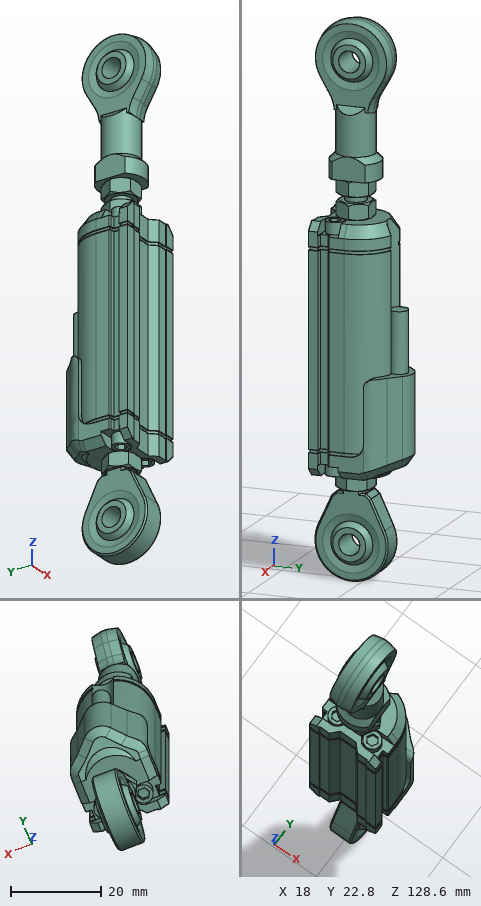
import cadquery as cq
import math

REACH = 25.7

THREAD_D = 5.0
NUT_CORNER_D = 9.0
NUT_FACE_D = 7.5
NUT_H = 3.9
NUT_CHAMFER_ANGLE = 30.0
LOWER_NUT_TURN = -5.0

BALL_D = 11.2
BALL_WIDTH = 8.0
BORE_D = 5.0

EYE_WIDTH = 5.9
DISH_OUTER_D = 13.5
DISH_INNER_D = 10.0

BODY_BOTTOM = 24.8
BODY_TOP = 83.2
BODY_CHAMFER = 1.9
DOME_BEVEL_H = 2.8
SEAM_INSET = 5.5
SEAM_H = 0.8
SEAM_DEPTH = 0.3

HALF_W = 9.0
DOME_Y = 0.8
SLOT_TOP_Y = -3.1
SLOT_BOTTOM_Y = -5.4
SLOT_FLOOR_X = 7.6
SLOT_EDGE_CHAMFER = 0.3
FOOT_Y = -7.7
FOOT_INNER_X = 6.4
LAND_Y = -7.5
LAND_INNER_X = 3.9
CHANNEL_Y = -5.7
CHANNEL_HALF_W = 2.2

SCREW_X = 4.8
SCREW_Y = -3.1
SCREW_HEAD_D = 4.2
SCREW_SOCKET_D = 2.8
SCREW_SOCKET_DEPTH = 1.3
POCKET_D = 4.9
POCKET_DEPTH = 2.8

BOSS_NOSE_Y = 13.8
BOSS_NOSE_R = 4.5
BOSS_FLANK_Y = 9.8
BOSS_SIDE_Y = 5.4
BOSS_SLOPE_Y = 4.6
BOSS_TOP = 48.5
BOSS_CORNER_R = 1.9
BOSS_ROOT_R = 3.2
BOSS_SLOPE = 1 / 3
CABLE_D = 4.2
CABLE_Y = 10.3
CABLE_CHANNEL_D = 5.4
CABLE_TOP = 62.9

UPPER_EYE_Z = 119.6
UPPER_EYE_R = 9.0
CREST_WIDTH = 1.3
CREST_DROP = 0.5
SHANK_D = 9.0
SHANK_TOP = 111.2
NECK_CORNER_Z = 109.5
NECK_FLAT_Z = 109.2
NECK_START_Z = 107.5
COLLAR_D = 12.0
COLLAR_CONE_Z = 96.5
COLLAR_BOTTOM = 92.3

LOWER_EYE_R = 8.7
LOWER_EYE_Z = LOWER_EYE_R
LOWER_EDGE_CHAMFER = 0.4
LOWER_TANGENT_ANGLE = 25.0
LOWER_SHOULDER_Z = 19.4
LOWER_NECK_D = 7.0
LOWER_NECK_Z = 20.5

ROD_TOP = 102.9
ROD_BOTTOM = 74.6
STUD_TOP = 33.5

UPPER_NUT_Z = COLLAR_BOTTOM - NUT_H
LOWER_NUT_Z = BODY_BOTTOM - NUT_H


def rod(diameter, bottom, top, x=0.0, y=0.0):
    """Vertical cylinder between two heights."""
    return cq.Workplane("XY", origin=(x, y, bottom)).circle(diameter / 2).extrude(top - bottom)


def make_ball(z):
    """Truncated sphere with a bore along X."""
    half_w = BALL_WIDTH / 2
    ball_r = BALL_D / 2
    face_r = math.sqrt(ball_r ** 2 - half_w ** 2)
    ball = (
        cq.Workplane("XY")
        .moveTo(-half_w, BORE_D / 2)
        .lineTo(-half_w, face_r)
        .threePointArc((0, ball_r), (half_w, face_r))
        .lineTo(half_w, BORE_D / 2)
        .close()
        .revolve(360, (0, 0, 0), (1, 0, 0))
    )
    return ball.translate((0, 0, z))


def make_nut(z, turn=0.0):
    """Hex nut with conical corner chamfers on both ends; z is its lower face."""
    drop = (NUT_CORNER_D - NUT_FACE_D) / 2 * math.tan(math.radians(NUT_CHAMFER_ANGLE))
    face_r = NUT_FACE_D / 2
    corner_r = NUT_CORNER_D / 2
    blank = (
        cq.Workplane("XZ")
        .polyline([(0, 0), (face_r, 0), (corner_r, drop),
                   (corner_r, NUT_H - drop), (face_r, NUT_H), (0, NUT_H)])
        .close()
        .revolve(360, (0, 0, 0), (0, 1, 0))
    )
    hexagon = cq.Workplane("XY").polygon(6, NUT_CORNER_D).circle(THREAD_D / 2).extrude(NUT_H)
    nut = blank.intersect(hexagon).rotate((0, 0, 0), (0, 0, 1), turn)
    return nut.translate((0, 0, z))


def cut_ball_seat(eye, z):
    """Spherical seat for the ball and a shallow conical dish on each face."""
    seat_r = DISH_INNER_D / 2
    seat_x = math.sqrt((BALL_D / 2) ** 2 - seat_r ** 2)
    face_x = EYE_WIDTH / 2
    dish_r = DISH_OUTER_D / 2
    tool = (
        cq.Workplane("XY")
        .moveTo(-face_x, 0)
        .lineTo(-face_x, dish_r)
        .lineTo(-seat_x, seat_r)
        .threePointArc((0, BALL_D / 2), (seat_x, seat_r))
        .lineTo(face_x, dish_r)
        .lineTo(face_x, 0)
        .close()
        .revolve(360, (0, 0, 0), (1, 0, 0))
    )
    return eye.cut(tool.translate((0, 0, z)))


def upper_eye_outline(plane):
    """Ring outline running by tangents and concave fillets into the shank sides."""
    side_y = SHANK_D / 2
    reach = UPPER_EYE_Z - NECK_CORNER_Z
    slant = math.acos(UPPER_EYE_R / math.hypot(side_y, reach)) - math.atan2(reach, side_y)
    tangent_y = UPPER_EYE_R * math.cos(slant)
    tangent_z = UPPER_EYE_Z + UPPER_EYE_R * math.sin(slant)
    fillet_run = NECK_CORNER_Z - NECK_START_Z
    fillet_y = side_y - fillet_run * math.sin(slant)
    fillet_z = NECK_CORNER_Z + fillet_run * math.cos(slant)
    fillet_r = fillet_run / math.tan(-slant / 2)
    fillet_mid_y = side_y + fillet_r * (1 - math.cos(slant / 2))
    fillet_mid_z = NECK_START_Z + fillet_r * math.sin(-slant / 2)
    return (
        plane.moveTo(-fillet_y, fillet_z)
        .lineTo(-tangent_y, tangent_z)
        .threePointArc((0, UPPER_EYE_Z + UPPER_EYE_R), (tangent_y, tangent_z))
        .lineTo(fillet_y, fillet_z)
        .tangentArcPoint((side_y, NECK_START_Z), relative=False)
        .lineTo(-side_y, NECK_START_Z)
        .threePointArc((-fillet_mid_y, fillet_mid_z), (-fillet_y, fillet_z))
        .close()
    )


def make_upper_rod_end():
    """Female rod end: ring, shank and wrench collar with a blind thread."""
    crest = upper_eye_outline(cq.Workplane("YZ")).extrude(CREST_WIDTH / 2, both=True)
    flank_w = (EYE_WIDTH - CREST_WIDTH) / 2
    draft = math.degrees(math.atan2(CREST_DROP, flank_w))
    flank_plane = cq.Workplane("YZ", origin=(CREST_WIDTH / 2, 0, 0))
    flank = upper_eye_outline(flank_plane).extrude(flank_w, taper=draft)
    plate = crest.union(flank).union(flank.mirror("YZ"))

    shank = rod(SHANK_D, COLLAR_BOTTOM, SHANK_TOP)
    bevel = (
        cq.Workplane("XZ")
        .polyline([(EYE_WIDTH / 2, SHANK_TOP), (EYE_WIDTH / 2, NECK_FLAT_Z), (SHANK_D / 2, NECK_START_Z),
                   (SHANK_D, NECK_START_Z), (SHANK_D, SHANK_TOP)])
        .close()
        .extrude(SHANK_D, both=True)
    )
    shank = shank.cut(bevel).cut(bevel.mirror("YZ"))

    collar_r = COLLAR_D / 2
    cone_top = COLLAR_CONE_Z + collar_r - SHANK_D / 2
    collar = (
        cq.Workplane("XZ")
        .polyline([(0, COLLAR_BOTTOM), (collar_r, COLLAR_BOTTOM), (collar_r, COLLAR_CONE_Z),
                   (SHANK_D / 2, cone_top), (0, cone_top)])
        .close()
        .revolve(360, (0, 0, 0), (0, 1, 0))
    )
    collar = collar.intersect(cq.Workplane("XY").box(SHANK_D, COLLAR_D, 2 * cone_top))

    eye = plate.union(shank).union(collar)
    eye = eye.cut(rod(THREAD_D, COLLAR_BOTTOM, ROD_TOP))
    return cut_ball_seat(eye, UPPER_EYE_Z)


def make_lower_rod_end():
    """Male rod end: tapered ring plate, round neck with flats and a threaded stud."""
    angle = math.radians(LOWER_TANGENT_ANGLE)
    tangent_y = LOWER_EYE_R * math.cos(angle)
    tangent_z = LOWER_EYE_Z + LOWER_EYE_R * math.sin(angle)
    shoulder_y = tangent_y - (LOWER_SHOULDER_Z - tangent_z) * math.tan(angle)
    plate = (
        cq.Workplane("YZ")
        .moveTo(-tangent_y, tangent_z)
        .threePointArc((0, LOWER_EYE_Z - LOWER_EYE_R), (tangent_y, tangent_z))
        .lineTo(shoulder_y, LOWER_SHOULDER_Z)
        .lineTo(LOWER_NECK_D / 2, LOWER_NECK_Z)
        .lineTo(-LOWER_NECK_D / 2, LOWER_NECK_Z)
        .lineTo(-shoulder_y, LOWER_SHOULDER_Z)
        .close()
        .extrude(EYE_WIDTH / 2, both=True)
        .faces("<X or >X")
        .chamfer(LOWER_EDGE_CHAMFER)
    )
    neck = rod(LOWER_NECK_D, LOWER_SHOULDER_Z, LOWER_NUT_Z)
    neck = neck.intersect(cq.Workplane("XY").box(EYE_WIDTH, LOWER_NECK_D, 2 * LOWER_NUT_Z))
    stud = rod(THREAD_D, LOWER_NUT_Z, STUD_TOP)
    return cut_ball_seat(plate.union(neck).union(stud), LOWER_EYE_Z)


def section_outline(plane):
    """Cross-section: domed back, side slots, two feet and a front channel."""
    right_half = [
        (CHANNEL_HALF_W, CHANNEL_Y),
        (LAND_INNER_X, LAND_Y),
        (FOOT_INNER_X, LAND_Y),
        (FOOT_INNER_X, FOOT_Y),
        (HALF_W, FOOT_Y),
        (HALF_W, SLOT_BOTTOM_Y),
        (SLOT_FLOOR_X, SLOT_BOTTOM_Y),
        (SLOT_FLOOR_X, SLOT_TOP_Y),
        (HALF_W - SLOT_EDGE_CHAMFER, SLOT_TOP_Y),
        (HALF_W, SLOT_TOP_Y + SLOT_EDGE_CHAMFER),
        (HALF_W, DOME_Y),
    ]
    left_half = [(-x, y) for x, y in reversed(right_half)]
    return (
        plane.polyline(right_half)
        .threePointArc((0, DOME_Y + HALF_W), left_half[0])
        .polyline(left_half, includeCurrent=False)
        .close()
    )


def dome_outline(plane):
    """Domed outline reaching past the front, so that only its back and sides shape the body."""
    return (
        plane.moveTo(HALF_W, -REACH)
        .lineTo(HALF_W, DOME_Y)
        .threePointArc((0, DOME_Y + HALF_W), (-HALF_W, DOME_Y))
        .lineTo(-HALF_W, -REACH)
        .close()
    )


def body_envelope():
    """Domed bar chamfered at both ends."""
    plane = cq.Workplane("XY", origin=(0, 0, BODY_BOTTOM))
    bar = dome_outline(plane).extrude(BODY_TOP - BODY_BOTTOM)
    return bar.faces("<Z or >Z").chamfer(BODY_CHAMFER)


def upper_dome_bevel():
    """Waste above the steeper bevel that runs round the dome at the upper end."""
    start_z = BODY_TOP - DOME_BEVEL_H
    plane = cq.Workplane("XY", origin=(0, 0, start_z))
    draft = math.degrees(math.atan2(BODY_CHAMFER, DOME_BEVEL_H))
    kept = dome_outline(plane).extrude(DOME_BEVEL_H, taper=draft)
    block = (
        plane.moveTo(-REACH, SLOT_BOTTOM_Y)
        .lineTo(REACH, SLOT_BOTTOM_Y)
        .lineTo(REACH, REACH)
        .lineTo(-REACH, REACH)
        .close()
        .extrude(DOME_BEVEL_H)
    )
    return block.cut(kept)


def seam_groove(bottom):
    """Shallow groove all round the section."""
    plane = cq.Workplane("XY", origin=(0, 0, bottom))
    outer = section_outline(plane).extrude(SEAM_H)
    inner = section_outline(plane).offset2D(-SEAM_DEPTH).extrude(SEAM_H)
    return outer.cut(inner)


def boss_plan(plane):
    """Plan of the connector boss: round nose, 45 degree flanks and curved shoulders."""
    diagonal = math.sqrt(0.5)
    nose_x = BOSS_NOSE_R * diagonal
    nose_y = BOSS_NOSE_Y - BOSS_NOSE_R * (1 - diagonal)
    flank_x = nose_x + nose_y - BOSS_FLANK_Y
    return (
        plane.moveTo(HALF_W, -REACH)
        .lineTo(HALF_W, BOSS_SIDE_Y)
        .spline([(HALF_W, BOSS_SIDE_Y), (flank_x, BOSS_FLANK_Y)], tangents=[(0, 1), (-1, 1)])
        .lineTo(nose_x, nose_y)
        .threePointArc((0, BOSS_NOSE_Y), (-nose_x, nose_y))
        .lineTo(-flank_x, BOSS_FLANK_Y)
        .spline([(-flank_x, BOSS_FLANK_Y), (-HALF_W, BOSS_SIDE_Y)], tangents=[(-1, -1), (0, -1)])
        .lineTo(-HALF_W, -REACH)
        .close()
    )


def bevelled_block(slope):
    """Block on the boss plan whose underside rises along Y and is bevelled all round."""
    block = boss_plan(cq.Workplane("XY")).extrude(BOSS_TOP)

    def underside(y):
        return BODY_BOTTOM + slope * (y - BOSS_SLOPE_Y)

    below = (
        cq.Workplane("YZ")
        .polyline([(-REACH, -REACH), (-REACH, underside(-REACH)),
                   (REACH, underside(REACH)), (REACH, -REACH)])
        .close()
        .extrude(REACH, both=True)
    )
    bottom_face = cq.selectors.NearestToPointSelector((0, 0, underside(0)))
    return block.cut(below).faces(bottom_face).chamfer(BODY_CHAMFER)


def connector_boss():
    """Boss at the back of the lower end; its underside runs flat, then slopes up to the nose."""
    block = bevelled_block(0).intersect(bevelled_block(BOSS_SLOPE))
    seam_z = BODY_BOTTOM + SEAM_INSET
    corner_mid = BOSS_CORNER_R * (1 - math.sqrt(0.5))
    root_mid = BOSS_ROOT_R * (1 - math.sqrt(0.5))
    side = (
        cq.Workplane("YZ")
        .moveTo(REACH, BOSS_TOP)
        .lineTo(BOSS_SIDE_Y + BOSS_CORNER_R, BOSS_TOP)
        .threePointArc((BOSS_SIDE_Y + corner_mid, BOSS_TOP - corner_mid),
                       (BOSS_SIDE_Y, BOSS_TOP - BOSS_CORNER_R))
        .lineTo(BOSS_SIDE_Y, seam_z + BOSS_ROOT_R)
        .threePointArc((BOSS_SIDE_Y - root_mid, seam_z + root_mid),
                       (BOSS_SIDE_Y - BOSS_ROOT_R, seam_z))
        .lineTo(0, seam_z)
        .lineTo(0, BODY_BOTTOM)
        .lineTo(REACH, BODY_BOTTOM)
        .close()
        .extrude(REACH, both=True)
    )
    return block.intersect(side)


def screw_pocket(x, bottom):
    """Round-ended pocket around a screw, open to the side of the body."""
    outward = math.copysign(REACH, x)
    pocket = rod(POCKET_D, bottom, bottom + POCKET_DEPTH, x, SCREW_Y)
    opening = cq.Workplane("XY").box(REACH, POCKET_D, POCKET_DEPTH)
    return pocket.union(opening.translate((x + outward / 2, SCREW_Y, bottom + POCKET_DEPTH / 2)))


def add_screws(body):
    """Four screws in pockets, two at each end, with heads flush with the end faces."""
    upper_levels = (BODY_TOP - POCKET_DEPTH, BODY_TOP - SCREW_SOCKET_DEPTH)
    lower_levels = (BODY_BOTTOM, BODY_BOTTOM)
    for x in (-SCREW_X, SCREW_X):
        for pocket_z, socket_z in (upper_levels, lower_levels):
            head = rod(SCREW_HEAD_D, pocket_z, pocket_z + POCKET_DEPTH, x, SCREW_Y)
            socket = (
                cq.Workplane("XY", origin=(x, SCREW_Y, socket_z))
                .polygon(6, SCREW_SOCKET_D)
                .extrude(SCREW_SOCKET_DEPTH)
            )
            body = body.cut(screw_pocket(x, pocket_z)).union(head.cut(socket))
    return body


def make_body():
    """Profiled actuator body with seams, connector boss, cable and end screws."""
    plane = cq.Workplane("XY", origin=(0, 0, BODY_BOTTOM))
    body = section_outline(plane).extrude(BODY_TOP - BODY_BOTTOM)
    body = body.intersect(body_envelope()).cut(upper_dome_bevel())
    body = body.cut(seam_groove(BODY_TOP - SEAM_INSET - SEAM_H))
    body = body.cut(seam_groove(BODY_BOTTOM + SEAM_INSET))

    body = body.union(connector_boss())
    body = body.cut(rod(CABLE_CHANNEL_D, BOSS_TOP, BODY_TOP, 0, CABLE_Y))
    body = body.union(rod(CABLE_D, BOSS_TOP, CABLE_TOP, 0, CABLE_Y))

    body = add_screws(body)
    body = body.cut(rod(THREAD_D, ROD_BOTTOM, BODY_TOP))
    return body.cut(rod(THREAD_D, BODY_BOTTOM, STUD_TOP))


upper_rod_end = make_upper_rod_end()
lower_rod_end = make_lower_rod_end()
balls = [make_ball(z) for z in (UPPER_EYE_Z, LOWER_EYE_Z)]
nuts = [
    make_nut(z, turn)
    for z, turn in ((UPPER_NUT_Z, 0.0), (BODY_TOP, 0.0), (LOWER_NUT_Z, LOWER_NUT_TURN))
]
piston_rod = rod(THREAD_D, ROD_BOTTOM, ROD_TOP)
body = make_body()

result = cq.Compound.makeCompound([
    upper_rod_end.val(),
    lower_rod_end.val(),
    *[ball.val() for ball in balls],
    *[nut.val() for nut in nuts],
    piston_rod.val(),
    body.val(),
])